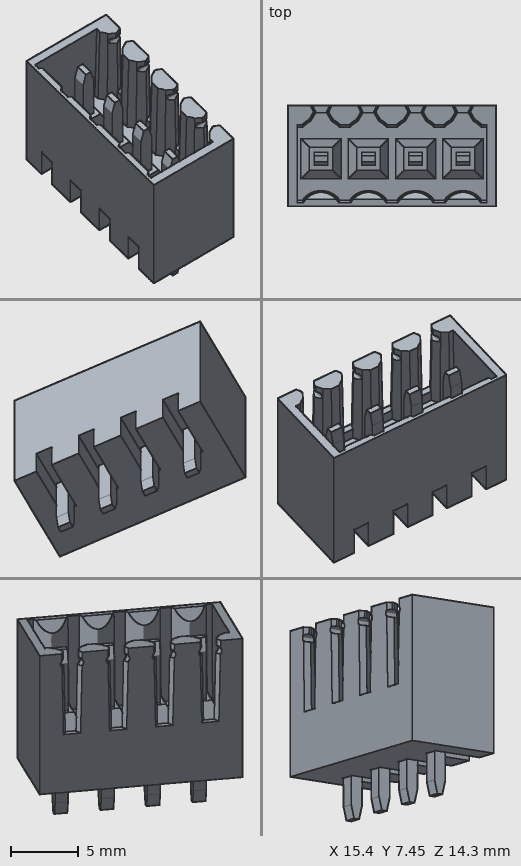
import cadquery as cq

TOTAL_HEIGHT = 14.25

LENGTH = 15.4
WIDTH = 7.45
HEIGHT = 11.05
FRONT = -WIDTH / 2
BACK = WIDTH / 2

CONTACTS = 4
PITCH = 3.5
CONTACT_Y = -0.22
contact_xs = [(i - (CONTACTS - 1) / 2) * PITCH for i in range(CONTACTS)]

FLOOR_Z = 3.7
END_WALL = 0.7
FRONT_WALL = 0.28
BACK_WALL = 1.42
DRAFT = 0.18
CAVITY_LENGTH = LENGTH - 2 * END_WALL
CAVITY_DEPTH = HEIGHT - FLOOR_Z
GAP_FRONT_Y = BACK - BACK_WALL - DRAFT

GAP_BACK_WIDTH = 1.57
THROAT_WIDTH = 1.08
THROAT_DEPTH = 0.48
FLARE_SLOPE = 0.6
GAP_DRAFT = 0.15
LOW_WALL = 0.52
LOW_WALL_HEIGHT = 0.92
LOW_WALL_Z = FLOOR_Z + LOW_WALL_HEIGHT

RECESS_RADIUS = 1.97
RECESS_AXIS_DEPTH = 2.82
RECESS_Y = BACK - RECESS_AXIS_DEPTH

SNAP_WIDTH = 1.17
SNAP_DEPTH = 1.0
GROOVE_RADIUS = 0.3
GROOVE_DEPTH = 0.83
GROOVE_Z = HEIGHT - GROOVE_DEPTH

KEY_RADIUS = 1.54
KEY_AXIS_OFFSET = 0.52
KEY_Y = FRONT - KEY_AXIS_OFFSET
KEY_RIM = 0.51
LEAD_IN_DEPTH = 0.62
LEAD_IN_DROP = 1.08

ROUND_DRAFT = 0.14

PIN_SIZE = 0.99
PIN_SETBACK = 1.17
PIN_TOP = HEIGHT - PIN_SETBACK
PIN_BOTTOM = HEIGHT - TOTAL_HEIGHT
PIN_TIP = 0.46
PIN_TAPER = 1.03

COLLAR_BASE = 2.97
COLLAR_TOP = 1.72
COLLAR_HEIGHT = 1.39

SLOT_WIDTH = 1.26
SLOT_HEIGHT = 2.45


def box(x_size, y_min, y_max, z_min, z_max, x=0.0):
    """Block centred on x, between the given Y and Z limits."""
    return (
        cq.Workplane("XY", origin=(x, (y_min + y_max) / 2, z_min))
        .box(x_size, y_max - y_min, z_max - z_min, centered=(True, True, False))
    )


def cone(x, y, floor_radius, top_radius):
    """Nearly cylindrical drafted body from the cavity floor to the rim."""
    return cq.Workplane(
        cq.Solid.makeCone(floor_radius, top_radius, CAVITY_DEPTH, pnt=cq.Vector(x, y, FLOOR_Z))
    )


def extrude_along_x(points, length, x=0.0):
    """Solid with the given (Y, Z) outline, centred on x."""
    return cq.Workplane("YZ", origin=(x, 0, 0)).polyline(points).close().extrude(length / 2, both=True)


def make_cavity():
    cavity = extrude_along_x(
        [
            (FRONT + FRONT_WALL, HEIGHT),
            (BACK - BACK_WALL, HEIGHT),
            (GAP_FRONT_Y, FLOOR_Z),
            (FRONT + FRONT_WALL + DRAFT, FLOOR_Z),
        ],
        CAVITY_LENGTH,
    )
    for x in contact_xs:
        cavity = cavity.cut(make_key(x))
    for x in contact_xs:
        cavity = cavity.union(make_recess(x)).union(make_gap(x)).union(make_snap_slot(x))
    return cavity


def make_key(x):
    lead_in = extrude_along_x(
        [
            (FRONT + KEY_RIM, HEIGHT),
            (FRONT + KEY_RIM + LEAD_IN_DEPTH, HEIGHT),
            (FRONT + KEY_RIM + LEAD_IN_DEPTH, HEIGHT - LEAD_IN_DROP),
        ],
        PITCH,
        x,
    )
    return cone(x, KEY_Y, KEY_RADIUS + ROUND_DRAFT, KEY_RADIUS).cut(lead_in)


def make_recess(x):
    whole = cone(x, RECESS_Y, RECESS_RADIUS - ROUND_DRAFT, RECESS_RADIUS)
    return whole.intersect(box(PITCH, GAP_FRONT_Y, BACK, FLOOR_Z, HEIGHT, x))


def gap_outline(narrowing):
    """Plan of a gap around its own centre line, with each side moved inwards."""
    back_half = GAP_BACK_WIDTH / 2 - narrowing
    throat_half = THROAT_WIDTH / 2 - narrowing
    throat_y = BACK - THROAT_DEPTH
    front_half = throat_half + FLARE_SLOPE * (throat_y - GAP_FRONT_Y)
    right_side = [(back_half, BACK), (throat_half, throat_y), (front_half, GAP_FRONT_Y)]
    left_side = [(-x, y) for x, y in reversed(right_side)]
    return right_side + left_side


def make_gap(x):
    gap = (
        cq.Workplane("XY", origin=(x, 0, FLOOR_Z))
        .polyline(gap_outline(GAP_DRAFT))
        .close()
        .workplane(offset=CAVITY_DEPTH)
        .polyline(gap_outline(0))
        .close()
        .loft(ruled=True)
    )
    return gap.cut(box(PITCH, BACK - LOW_WALL, BACK, FLOOR_Z, LOW_WALL_Z, x))


def make_snap_slot(x):
    slot = box(SNAP_WIDTH, BACK - SNAP_DEPTH, BACK, GROOVE_Z - GROOVE_RADIUS, HEIGHT, x)
    grooves = (
        cq.Workplane("XZ", origin=(x, BACK, GROOVE_Z))
        .pushPoints([(-SNAP_WIDTH / 2, 0), (SNAP_WIDTH / 2, 0)])
        .circle(GROOVE_RADIUS)
        .extrude(SNAP_DEPTH)
    )
    return slot.union(grooves)


def make_pin(x):
    half = PIN_SIZE / 2
    tip = PIN_TIP / 2
    outline = [
        (CONTACT_Y - tip, PIN_BOTTOM),
        (CONTACT_Y + tip, PIN_BOTTOM),
        (CONTACT_Y + half, PIN_BOTTOM + PIN_TAPER),
        (CONTACT_Y + half, PIN_TOP - PIN_TAPER),
        (CONTACT_Y + tip, PIN_TOP),
        (CONTACT_Y - tip, PIN_TOP),
        (CONTACT_Y - half, PIN_TOP - PIN_TAPER),
        (CONTACT_Y - half, PIN_BOTTOM + PIN_TAPER),
    ]
    return extrude_along_x(outline, PIN_SIZE, x)


def make_collar(x):
    collar = (
        cq.Workplane("XY", origin=(x, CONTACT_Y, FLOOR_Z))
        .rect(COLLAR_BASE, COLLAR_BASE)
        .workplane(offset=COLLAR_HEIGHT)
        .rect(COLLAR_TOP, COLLAR_TOP)
        .loft()
    )
    return collar.cut(make_pin(x))


def make_housing():
    housing = box(LENGTH, FRONT, BACK, 0, HEIGHT).cut(make_cavity())
    for x in contact_xs:
        housing = housing.cut(box(SLOT_WIDTH, FRONT, CONTACT_Y + PIN_SIZE / 2, 0, SLOT_HEIGHT, x))
        housing = housing.cut(make_pin(x))
    return housing


housing = make_housing()
pins = [make_pin(x) for x in contact_xs]
collars = [make_collar(x) for x in contact_xs]

result = cq.Compound.makeCompound(
    [housing.val(), *[pin.val() for pin in pins], *[collar.val() for collar in collars]]
)